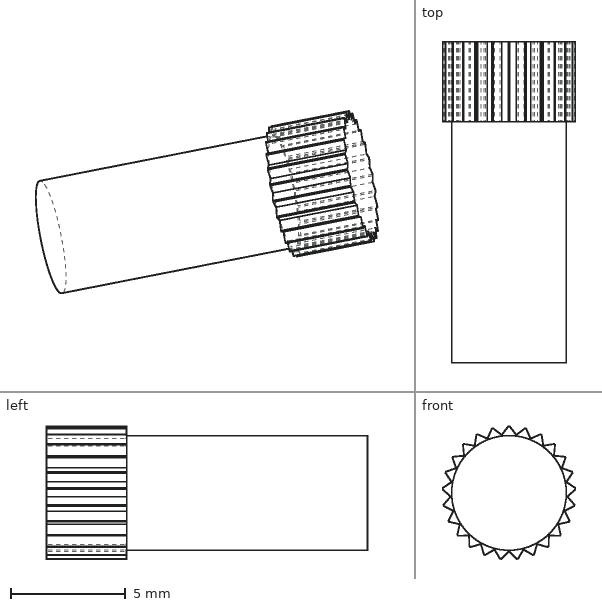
import cadquery as cq
import math

total_length = 14.0
shank_diameter = 5.0

head_length = 3.5
tooth_count = 25
tip_radius = 2.9
root_radius = 2.55
tip_flat_width = 0.065

back_y = total_length

tooth_pitch = 2 * math.pi / tooth_count
tip_half_angle = math.asin(tip_flat_width / 2 / tip_radius)


def polar_point(radius, angle):
    """Point at the given angle from +Z, as (x, z)."""
    return (radius * math.sin(angle), radius * math.cos(angle))


def cross_section(y):
    """XZ sketch plane at the given Y."""
    return cq.Workplane("XZ", origin=(0, y, 0))


def make_shank():
    """Plain round shank running the full length of the part."""
    return cross_section(back_y).circle(shank_diameter / 2).extrude(total_length)


def make_head():
    """Head with straight V-shaped teeth with narrow flat tips, one of them pointing along +Z."""
    outline = []
    for index in range(tooth_count):
        tooth_angle = index * tooth_pitch
        outline.append(polar_point(tip_radius, tooth_angle - tip_half_angle))
        outline.append(polar_point(tip_radius, tooth_angle + tip_half_angle))
        outline.append(polar_point(root_radius, tooth_angle + tooth_pitch / 2))
    return cross_section(back_y).polyline(outline).close().extrude(head_length)


result = make_shank().union(make_head())